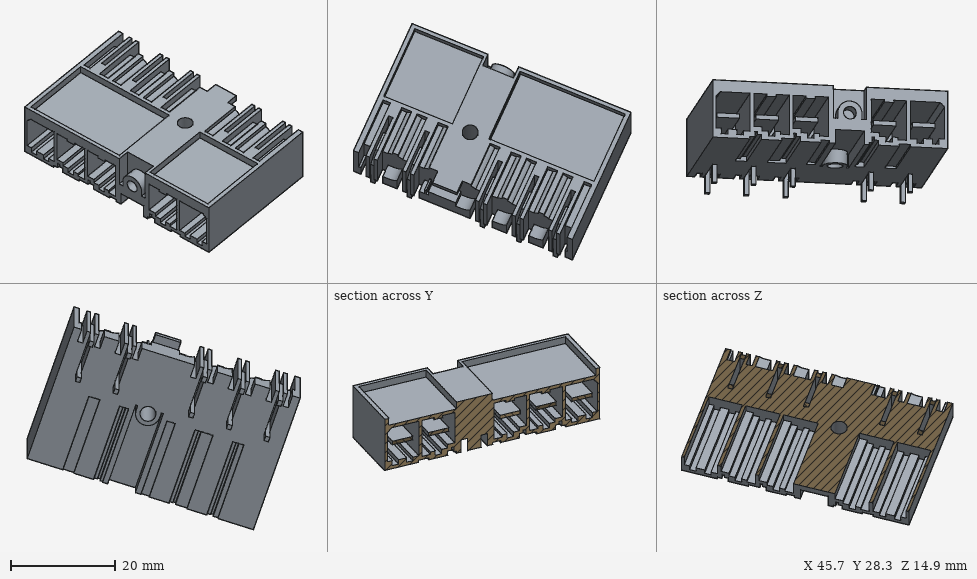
import cadquery as cq
import math


length = 45.7
depth = 28.3
height = 11.45
cell_count = 6
flange_cell = 3
pitch = length / cell_count
contact_cells = [i for i in range(cell_count) if i != flange_cell]
first_cell = contact_cells[0]
last_cell = contact_cells[-1]
inner_cells = contact_cells[1:-1]
flange_x = (flange_cell + 0.5) * pitch
flange_left = flange_cell * pitch
flange_right = flange_left + pitch

pocket_depth = 15.77
pocket_top = 9.1
pocket_half = 3.45
pocket_floor = 1.75
pocket_low_floor = 1.25
groove_floor = 0.8
key_half = 0.9
key_bottom = 8.65
shelf_end = 1.87
shelf_z = 2.5
inner_groove_half = 0.65
inner_step = 1.75
end_outer_half = 3.2
end_chamfer = 0.85
end_outer_floor = 1.87
end_inner_floor = 1.55
end_groove_outside = 2.15
end_groove_inside = 0.85

relief_height = 0.45
relief_start = 2.0
end_relief_gap = 0.4
hook_left = 3.3
hook_right = 2.8
hook_top = 1.55
hook_mouth = 2.0
hook_mouth_top = 0.95

side_wall = 0.9
front_wall = 0.8
recess_floor = 9.9
lip_width = 0.15
lip_height = 0.15

boss_recess_half = 3.2
boss_recess_depth = 2.5
boss_recess_floor = 5.0
boss_radius = 2.35
boss_axis_z = 6.15
boss_hole_radius = 1.25
hub_recess_half = 2.8
hub_recess_height = 2.7
hub_radius = 2.4
hub_recess_depth = 16.9
screw_y = 16.0
screw_radius = 1.5
tab_half = 2.55
tab_thickness = 1.3

slot_front = 16.55
rear_step = 25.75
fin_half = 1.2
end_wall = 1.1
end_ledge = 1.55
tube_radius = 2.05
tube_axis_z = 8.65
tube_half = 1.55
rib_half = 0.6
comb_floor = recess_floor
ledge_z = 3.65
ledge_half = 1.5
trough_radius = 2.3
trough_axis = 0.4
flange_ledge_right = 30.1
flange_ledge_z = 5.5
stop_left = 30.55

pin_half = 0.435
pin_front = 19.1
pin_rear = 27.8
front_leg = 0.95
rear_leg = 1.1
leg_length = 3.47
blade_half = 2.2
blade_bottom = 5.3
blade_top = 6.15
blade_tip = 4.55
pin_step = 21.63
pin_slope = 25.4
pin_top = blade_top + pin_rear - pin_slope


def cell_x(cell):
    return (cell + 0.5) * pitch


def block(x0, x1, y0, y1, z0, z1):
    """Box between two corners."""
    return cq.Workplane("XY").box(x1 - x0, y1 - y0, z1 - z0, centered=False).translate((x0, y0, z0))


def along_y(y0, y1):
    """XZ sketch plane at y0 and the extrusion distance that reaches y1."""
    return cq.Workplane("XZ", origin=(0, y0, 0)), -(y1 - y0)


def prism(points, y0, y1):
    """XZ outline carried from y0 to y1."""
    plane, distance = along_y(y0, y1)
    return plane.polyline(points).close().extrude(distance)


def inner_pocket(x):
    points = [
        (x - pocket_half, pocket_top), (x - key_half, pocket_top),
        (x - key_half, key_bottom), (x + key_half, key_bottom),
        (x + key_half, pocket_top), (x + pocket_half, pocket_top),
        (x + pocket_half, pocket_low_floor), (x + inner_step, pocket_low_floor),
        (x + inner_step, pocket_floor), (x + inner_groove_half, pocket_floor),
        (x + inner_groove_half, groove_floor), (x - inner_groove_half, groove_floor),
        (x - inner_groove_half, pocket_floor), (x - shelf_end, pocket_floor),
        (x - shelf_end, shelf_z), (x - pocket_half, shelf_z),
    ]
    return prism(points, 0, pocket_depth)


def end_pocket(x, inward):
    """Pocket of an end cell; inward is +1 or -1, the X direction toward the middle of the row."""
    outline = [
        (-end_outer_half, pocket_top - end_chamfer), (-end_outer_half + end_chamfer, pocket_top),
        (pocket_half, pocket_top), (pocket_half, end_inner_floor),
        (end_groove_outside, end_inner_floor), (end_groove_outside, groove_floor),
        (end_groove_inside, groove_floor), (end_groove_inside, pocket_floor),
        (-end_groove_inside, pocket_floor), (-end_groove_inside, groove_floor),
        (-end_groove_outside, groove_floor), (-end_groove_outside, end_outer_floor),
        (-end_outer_half, end_outer_floor),
    ]
    return prism([(x + inward * u, z) for u, z in outline], 0, pocket_depth)


def underside_groove(x0, x1, z_top):
    return block(x0, x1, 0, pocket_depth, 0, z_top)


def cut_mating_side(body):
    body = body.cut(end_pocket(cell_x(first_cell), 1))
    body = body.cut(end_pocket(cell_x(last_cell), -1))
    for cell in inner_cells:
        x = cell_x(cell)
        body = body.cut(inner_pocket(x))
        body = body.cut(underside_groove(x - hook_left, x - hook_right, hook_top))
        body = body.cut(underside_groove(x - hook_right, x - hook_mouth, hook_mouth_top))
        if cell - 1 == first_cell:
            left = cell * pitch - end_relief_gap
        elif cell - 1 == flange_cell:
            left = flange_right
        else:
            left = cell_x(cell - 1) + relief_start
        body = body.cut(underside_groove(left, x - hook_left, relief_height))
        if cell + 1 == flange_cell:
            body = body.cut(underside_groove(x + relief_start, flange_left - lip_width, relief_height))
        elif cell + 1 == last_cell:
            right = last_cell * pitch + end_relief_gap
            body = body.cut(underside_groove(x + relief_start, right, relief_height))
    return body


def cut_top_recesses(body):
    for x0, x1 in [(side_wall, flange_left), (flange_right, length - side_wall)]:
        body = body.cut(block(x0, x1, front_wall, pocket_depth, recess_floor, height))
    lip = block(flange_left - lip_width, flange_left, front_wall, pocket_depth,
                recess_floor, recess_floor + lip_height)
    return body.union(lip)


def comb_slot(boundary, side):
    """Slot between a fin and the rib on a cell boundary; side is -1 left or +1 right of the rib."""
    fin_x = boundary + side * (pitch / 2 - fin_half)
    tube_z = tube_axis_z + math.sqrt(tube_radius**2 - tube_half**2)
    rib_z = tube_axis_z + math.sqrt(tube_radius**2 - rib_half**2)
    mid_offset = (tube_half + rib_half) / 2
    mid_z = tube_axis_z + math.sqrt(tube_radius**2 - mid_offset**2)
    plane, distance = along_y(slot_front, rear_step)
    return (
        plane.moveTo(fin_x, height)
        .lineTo(fin_x, comb_floor)
        .lineTo(boundary + side * tube_half, comb_floor)
        .lineTo(boundary + side * tube_half, tube_z)
        .threePointArc((boundary + side * mid_offset, mid_z), (boundary + side * rib_half, rib_z))
        .lineTo(boundary + side * rib_half, height)
        .close()
        .extrude(distance)
    )


def rear_ledge(boundary):
    """Low ledge behind a rib: a concave trough on the left, flat on the right."""
    left = boundary - ledge_half
    axis_x = boundary + trough_axis
    axis_z = ledge_z + trough_radius
    mid_x = (left + axis_x) / 2
    left_z = axis_z - math.sqrt(trough_radius**2 - (axis_x - left)**2)
    mid_z = axis_z - math.sqrt(trough_radius**2 - (axis_x - mid_x)**2)
    plane, distance = along_y(rear_step, depth)
    return (
        plane.moveTo(left, 0)
        .lineTo(left, left_z)
        .threePointArc((mid_x, mid_z), (axis_x, ledge_z))
        .lineTo(boundary + ledge_half, ledge_z)
        .lineTo(boundary + ledge_half, 0)
        .close()
        .extrude(distance)
    )


def shape_pin_side(body):
    body = body.cut(block(end_wall, length - end_wall, rear_step, depth, 0, height))
    for cell in contact_cells:
        x = cell_x(cell)
        body = body.union(block(x - fin_half, x + fin_half, rear_step, depth, 0, height))
        body = body.cut(block(x - pin_half, x + pin_half, pin_front, depth, 0, height))
        if cell != first_cell:
            body = body.cut(comb_slot(cell * pitch, 1))
        if cell != last_cell:
            body = body.cut(comb_slot((cell + 1) * pitch, -1))
    end_fin = pitch / 2 - fin_half
    body = body.cut(block(end_wall, end_fin, slot_front, rear_step, comb_floor, height))
    body = body.cut(block(length - end_fin, length - end_wall, slot_front, rear_step, comb_floor, height))
    for boundary in range(1, cell_count):
        body = body.union(rear_ledge(boundary * pitch))
    body = body.union(block(end_wall, end_ledge, rear_step, depth, 0, ledge_z))
    body = body.union(block(length - end_ledge, length - end_wall, rear_step, depth, 0, ledge_z))
    flange_ledge_left = flange_left + ledge_half
    stop_right = flange_right + trough_axis
    body = body.union(block(flange_ledge_left, flange_ledge_right, rear_step, depth, 0, flange_ledge_z))
    body = body.union(block(stop_left, stop_right, rear_step, depth, 0, flange_ledge_z))
    return body


def shape_flange(body):
    boss_plane, boss_length = along_y(0, boss_recess_depth)
    boss = boss_plane.center(flange_x, boss_axis_z).circle(boss_radius).extrude(boss_length)
    boss = boss.union(block(flange_x - boss_radius, flange_x + boss_radius, 0, boss_recess_depth,
                            boss_recess_floor, boss_axis_z))
    recess = block(flange_x - boss_recess_half, flange_x + boss_recess_half, 0, boss_recess_depth,
                   boss_recess_floor, height)
    hole = boss_plane.center(flange_x, boss_axis_z).circle(boss_hole_radius).extrude(boss_length)
    body = body.cut(recess.cut(boss)).cut(hole)
    hub = cq.Workplane("XY").center(flange_x, screw_y).circle(hub_radius).extrude(hub_recess_height)
    hub = hub.union(block(flange_x - hub_radius, flange_x + hub_radius, screw_y, hub_recess_depth,
                          0, hub_recess_height))
    hub_recess = block(flange_x - hub_recess_half, flange_x + hub_recess_half, 0, hub_recess_depth,
                       0, hub_recess_height)
    body = body.cut(hub_recess.cut(hub))
    screw = cq.Workplane("XY").center(flange_x, screw_y).circle(screw_radius).extrude(height)
    tab = block(flange_x - tab_half, flange_x + tab_half, rear_step, depth, height - tab_thickness, height)
    return body.cut(screw).union(tab)


def blade(x):
    return block(x - blade_half, x + blade_half, blade_tip, pin_front, blade_bottom, blade_top)


def make_pin(x):
    """Contact: a flat blade on a plate with two solder legs."""
    outline = [
        (pin_front, -leg_length), (pin_front, blade_top), (pin_step, blade_top),
        (pin_step, pin_top), (pin_slope, pin_top), (pin_rear, blade_top),
        (pin_rear, -leg_length), (pin_rear - rear_leg, -leg_length),
        (pin_rear - rear_leg, blade_bottom), (pin_front + front_leg, blade_bottom),
        (pin_front + front_leg, -leg_length),
    ]
    plate = (
        cq.Workplane("YZ", origin=(x - pin_half, 0, 0))
        .polyline(outline).close().extrude(2 * pin_half)
    )
    return plate.union(blade(x))


def make_housing():
    body = block(0, length, 0, depth, 0, height)
    body = cut_mating_side(body)
    body = cut_top_recesses(body)
    body = shape_pin_side(body)
    body = shape_flange(body)
    for cell in contact_cells:
        body = body.cut(blade(cell_x(cell)))
    return body


housing = make_housing()
pins = [make_pin(cell_x(cell)) for cell in contact_cells]

result = cq.Compound.makeCompound([housing.val(), *[pin.val() for pin in pins]])